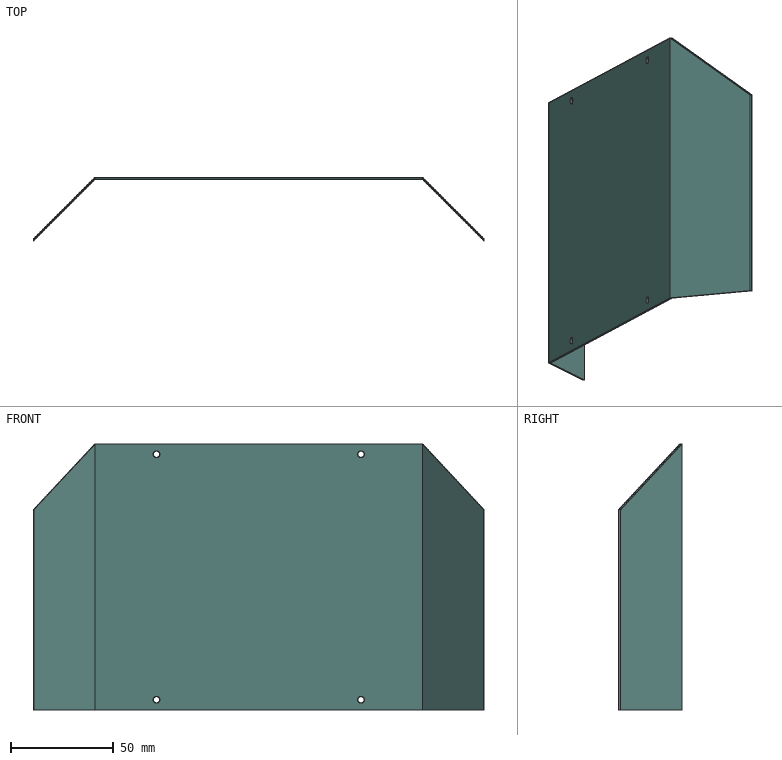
import cadquery as cq
import math

width = 220.0
depth = 31.0
height = 130.0

thickness = 1.0
bend_angle = 45.0
wing_drop = depth - thickness
wing_reach = wing_drop / math.tan(math.radians(bend_angle))
half_width = width / 2
bend_x = half_width - wing_reach

corner_cut_height = 32.1

hole_diameter = 3.0
hole_spacing_x = 99.9
hole_edge_distance = 5.0
hole_spacing_z = height - 2 * hole_edge_distance


def bent_sheet():
    """Back panel with two wings angled forward, extruded upwards from Z = 0."""
    return (
        cq.Workplane("XY")
        .moveTo(-half_width, 0)
        .lineTo(-bend_x, wing_drop)
        .lineTo(bend_x, wing_drop)
        .lineTo(half_width, 0)
        .lineTo(half_width, thickness)
        .lineTo(bend_x, depth)
        .lineTo(-bend_x, depth)
        .lineTo(-half_width, thickness)
        .close()
        .extrude(height)
    )


def front_outline():
    """Solid whose front silhouette slopes down from the bends to the wing ends."""
    return (
        cq.Workplane("XZ")
        .moveTo(-half_width, 0)
        .lineTo(half_width, 0)
        .lineTo(half_width, height - corner_cut_height)
        .lineTo(bend_x, height)
        .lineTo(-bend_x, height)
        .lineTo(-half_width, height - corner_cut_height)
        .close()
        .extrude(-depth)
    )


def mounting_holes():
    """Four round cutters through the back panel, near its top and bottom edges."""
    return (
        cq.Workplane("XZ")
        .center(0, height / 2)
        .rect(hole_spacing_x, hole_spacing_z, forConstruction=True)
        .vertices()
        .circle(hole_diameter / 2)
        .extrude(-depth)
    )


result = bent_sheet().intersect(front_outline()).cut(mounting_holes())